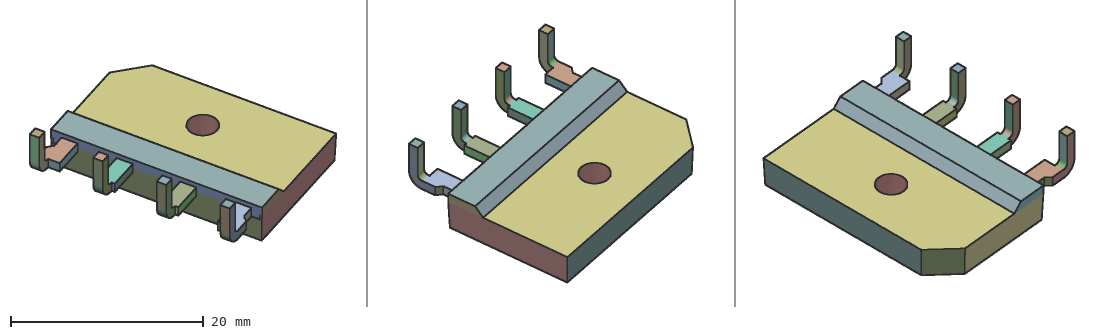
import cadquery as cq
import math

body_width = 25.3
body_depth = 15.33
total_depth = 20.85
total_height = 8.17

parting_height = 3.5
deck_height = 3.57
ridge_height = 4.6
ridge_depth = 4.5
corner_cut = 3.25
draft_angle = 2.0
hole_diameter = 3.4
hole_from_back = 5.77

lead_count = 4
lead_pitch = 7.62
lead_thickness = 1.15
lead_bottom = 2.88
tip_width = 1.15
shank_width = 1.92
shank_length = 3.7
shank_offset = 0.6
jog_start = 1.55
jog_end = 2.13
bend_outer_radius = 1.65
lead_root = 0.5

pad_edge_gap = 0.28
pad_depth = 0.25

half_width = body_width / 2
lead_reach = total_depth - body_depth
lead_top = lead_bottom + lead_thickness
bend_inner_radius = bend_outer_radius - lead_thickness


def lead_x(index):
    """Centre of a lead tip, counted from the -X end."""
    return (index - (lead_count - 1) / 2) * lead_pitch


def make_body():
    outline = [
        (-half_width, 0),
        (half_width, 0),
        (half_width, body_depth),
        (-half_width + corner_cut, body_depth),
        (-half_width, body_depth - corner_cut),
    ]
    lower = (
        cq.Workplane("XY", origin=(0, 0, parting_height))
        .polyline(outline)
        .close()
        .extrude(-parting_height, taper=draft_angle)
    )
    deck = (
        cq.Workplane("XY", origin=(0, 0, parting_height))
        .polyline(outline)
        .close()
        .extrude(deck_height - parting_height)
    )
    ridge_crest = ridge_depth - (ridge_height - deck_height)
    ridge = (
        cq.Workplane("YZ", origin=(-half_width, 0, 0))
        .moveTo(0, parting_height)
        .lineTo(0, ridge_height)
        .lineTo(ridge_crest, ridge_height)
        .lineTo(ridge_depth, deck_height)
        .lineTo(ridge_depth, parting_height)
        .close()
        .extrude(body_width)
    )
    hole = (
        cq.Workplane("XY")
        .center(0, body_depth - hole_from_back)
        .circle(hole_diameter / 2)
        .extrude(ridge_height)
    )
    return lower.union(deck).union(ridge).cut(hole)


def bent_strip():
    """Side shape of a lead, as wide as the body: flat run, bend and upright end."""
    bend_y = -lead_reach + bend_outer_radius
    bend_z = lead_bottom + bend_outer_radius
    diagonal = math.sqrt(0.5)
    outer_mid = (bend_y - bend_outer_radius * diagonal, bend_z - bend_outer_radius * diagonal)
    inner_mid = (bend_y - bend_inner_radius * diagonal, bend_z - bend_inner_radius * diagonal)
    return (
        cq.Workplane("YZ", origin=(-half_width, 0, 0))
        .moveTo(lead_root, lead_bottom)
        .lineTo(bend_y, lead_bottom)
        .threePointArc(outer_mid, (-lead_reach, bend_z))
        .lineTo(-lead_reach, total_height)
        .lineTo(-lead_reach + lead_thickness, total_height)
        .lineTo(-lead_reach + lead_thickness, bend_z)
        .threePointArc(inner_mid, (bend_y, lead_top))
        .lineTo(lead_root, lead_top)
        .close()
        .extrude(body_width)
    )


def cut_from_strip(points):
    """Trim the bent strip to an outline given in plan."""
    plan = cq.Workplane("XY").polyline(points).close().extrude(total_height)
    return bent_strip().intersect(plan)


def make_inner_lead(index):
    centre = lead_x(index)
    tip = tip_width / 2
    shank = shank_width / 2
    return cut_from_strip([
        (centre - shank, lead_root),
        (centre - shank, -shank_length),
        (centre - tip, -shank_length),
        (centre - tip, -lead_reach),
        (centre + tip, -lead_reach),
        (centre + tip, -shank_length),
        (centre + shank, -shank_length),
        (centre + shank, lead_root),
    ])


def make_outer_lead():
    """Lead at the -X end, together with the flat pad around its root."""
    outer_tip_edge = lead_x(0) - tip_width / 2
    outer_shank_edge = outer_tip_edge + shank_offset
    inner_shank_edge = outer_shank_edge + shank_width
    lead = cut_from_strip([
        (outer_shank_edge, lead_root),
        (outer_shank_edge, -jog_start),
        (outer_tip_edge, -jog_end),
        (outer_tip_edge, -lead_reach),
        (outer_tip_edge + tip_width, -lead_reach),
        (outer_tip_edge + tip_width, -shank_length),
        (inner_shank_edge, -shank_length),
        (inner_shank_edge, lead_root),
    ])
    pad_start = -half_width + pad_edge_gap
    pad = (
        cq.Workplane("XY")
        .box(
            inner_shank_edge - pad_start,
            pad_depth,
            parting_height - lead_bottom,
            centered=False,
        )
        .translate((pad_start, 0, lead_bottom))
    )
    return lead.union(pad)


outer_lead = make_outer_lead()
result = make_body().union(outer_lead).union(outer_lead.mirror("YZ"))
for inner_index in range(1, lead_count - 1):
    result = result.union(make_inner_lead(inner_index))